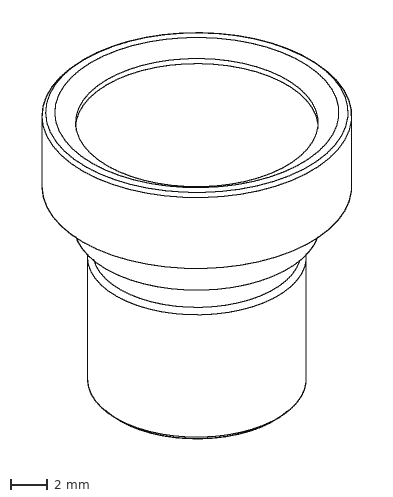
import cadquery as cq

total_height = 18.55
head_diameter = 17.0
collar_diameter = 13.5
neck_diameter = 11.4
barrel_diameter = 12.0
recess_mouth_diameter = 15.58
lens_diameter = 13.3

barrel_top = 8.5
collar_bottom = 10.25
head_bottom = 12.75
head_top = 17.53

head_chamfer = 0.2
barrel_chamfer = (barrel_diameter - neck_diameter) / 2

cone_depth = 0.65
lens_sphere_radius = 12.05


def cylinder(diameter, bottom, top):
    """Vertical cylinder on the Z axis between two heights."""
    return cq.Workplane("XY").workplane(offset=bottom).circle(diameter / 2).extrude(top - bottom)


barrel = cylinder(barrel_diameter, 0, barrel_top).faces("<Z or >Z").chamfer(barrel_chamfer)
neck = cylinder(neck_diameter, barrel_top, collar_bottom)
collar = cylinder(collar_diameter, collar_bottom, head_bottom)
head = cylinder(head_diameter, head_bottom, head_top).faces(">Z").edges().chamfer(head_chamfer)
housing = barrel.union(neck).union(collar).union(head)

lens_radius = lens_diameter / 2
sphere_center = total_height - lens_sphere_radius
lens_edge = sphere_center + (lens_sphere_radius**2 - lens_radius**2) ** 0.5
cone_bottom = head_top - cone_depth

recess = (
    cq.Workplane("XZ")
    .moveTo(0, lens_edge)
    .lineTo(lens_radius, lens_edge)
    .lineTo(lens_radius, cone_bottom)
    .lineTo(recess_mouth_diameter / 2, head_top)
    .lineTo(0, head_top)
    .close()
    .revolve(360, (0, 0, 0), (0, 1, 0))
)

half_radius = lens_radius / 2
half_height = sphere_center + (lens_sphere_radius**2 - half_radius**2) ** 0.5
lens = (
    cq.Workplane("XZ")
    .moveTo(0, lens_edge)
    .lineTo(lens_radius, lens_edge)
    .threePointArc((half_radius, half_height), (0, total_height))
    .close()
    .revolve(360, (0, 0, 0), (0, 1, 0))
)

result = housing.cut(recess).union(lens)